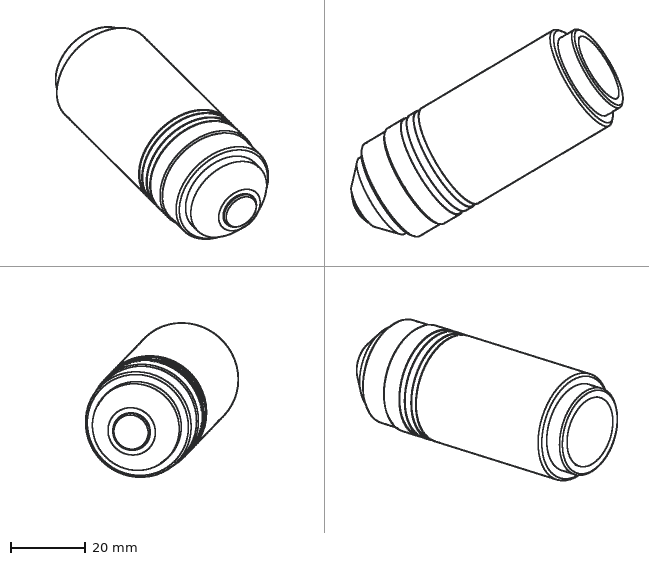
import cadquery as cq


body_start = 5.0
ring_start = 59.7
nose_start = 68.05
cone_start = 70.8
cone_end = 76.4
lens_shoulder = 76.9
dome_start = 77.3
overall_length = 78.6

mount_radius = 12.2
body_diameter = 29.95
body_radius = body_diameter / 2
ring_radius = 14.5
nose_radius = 11.95
cone_tip_radius = 6.5
lens_radius = 5.1
dome_radius = 4.7
bore_radius = 9.7
aperture_radius = 4.7

mount_chamfer = 0.55
body_chamfer = 0.7
ring_rear_chamfer = 0.5
ring_front_chamfer = 0.6

grooves = [(48.65, 50.3), (52.6, 54.5)]
groove_depth = 0.2


def cylinder(start, end, radius):
    """Solid cylinder on the X axis between two positions."""
    return cq.Workplane("YZ").workplane(offset=start).circle(radius).extrude(end - start)


def make_mount():
    return cylinder(0, body_start, mount_radius).faces("<X").chamfer(mount_chamfer)


def make_body():
    body = cylinder(body_start, ring_start, body_radius).faces("<X").chamfer(body_chamfer)
    for start, end in grooves:
        band = cylinder(start, end, body_radius + groove_depth)
        core = cylinder(start, end, body_radius - groove_depth)
        body = body.cut(band.cut(core))
    return body


def make_ring():
    ring = cylinder(ring_start, nose_start, ring_radius)
    ring = ring.faces("<X").chamfer(ring_rear_chamfer)
    return ring.faces(">X").chamfer(ring_front_chamfer)


def make_nose():
    """Short cylinder, cone and domed front lens, revolved in one piece."""
    dome_height = overall_length - dome_start
    sphere_radius = (dome_radius**2 + dome_height**2) / (2 * dome_height)
    return (
        cq.Workplane("XY")
        .moveTo(nose_start, 0)
        .lineTo(nose_start, nose_radius)
        .lineTo(cone_start, nose_radius)
        .lineTo(cone_end, cone_tip_radius)
        .lineTo(cone_end, lens_radius)
        .lineTo(lens_shoulder, lens_radius)
        .lineTo(dome_start, dome_radius)
        .radiusArc((overall_length, 0), sphere_radius)
        .close()
        .revolve(360, (0, 0, 0), (1, 0, 0))
    )


light_path = cylinder(0, nose_start, bore_radius).union(cylinder(nose_start, cone_end, aperture_radius))

result = make_mount().union(make_body()).union(make_ring()).union(make_nose()).cut(light_path)